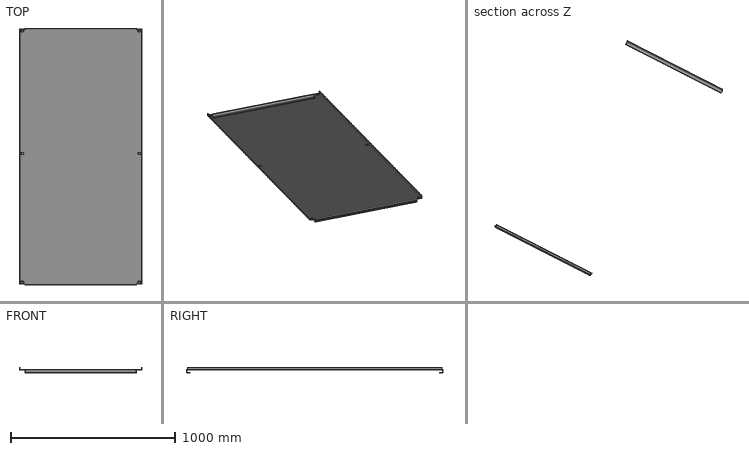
import cadquery as cq

length = 1560.0
width = 745.0
height = 33.0
sheet = 2.5
inner_bend = 0.6

side_rise = 12.0
end_lip = 20.0
corner_notch = 35.0
end_setback = 5.0

hole_length = 15.0
hole_width = 11.0
hole_side_inset = 17.0
hole_end_inset = 15.0
middle_hole_y = 19.0

panel_bottom = height - side_rise - sheet
panel_top = panel_bottom + sheet
end_flange_width = width - 2 * corner_notch
bend_reach = inner_bend + 2 * sheet
side_flange_length = length - 2 * end_setback


def block(x_range, y_range, z_range):
    """Box between the given limits on each axis."""
    starts, ends = zip(x_range, y_range, z_range)
    sizes = [end - start for start, end in zip(starts, ends)]
    return cq.Workplane("XY").box(*sizes, centered=False).translate(starts)


def make_panel():
    """Flat sheet inside the bends, with notches at the corners."""
    flat_width = width - 2 * bend_reach
    flat_length = length - 2 * bend_reach
    main = cq.Workplane("XY").box(flat_width, side_flange_length, sheet, centered=(True, True, False))
    ends = cq.Workplane("XY").box(end_flange_width, flat_length, sheet, centered=(True, True, False))
    return main.union(ends).translate((0, 0, panel_bottom))


def round_bend(body, axis, outer_corner, inner_corner):
    """Round the outer and inner corner lines of a right-angle bend to concentric arcs."""
    for corner, radius in ((outer_corner, inner_bend + sheet), (inner_corner, inner_bend)):
        nearest_edge = cq.selectors.NearestToPointSelector(corner)
        body = body.edges(axis).edges(nearest_edge).fillet(radius)
    return body


def make_side_flange():
    """Plain upward flange on the -X side, with its bend and a short run of the panel."""
    outer = -width / 2
    y_range = (-side_flange_length / 2, side_flange_length / 2)
    wall = block((outer, outer + sheet), y_range, (panel_bottom, height))
    foot = block((outer, outer + bend_reach), y_range, (panel_bottom, panel_top))
    outer_corner = (outer, 0, panel_bottom)
    inner_corner = (outer + sheet, 0, panel_top)
    return round_bend(wall.union(foot), "|Y", outer_corner, inner_corner)


def make_end_flange():
    """Downward flange with an inward lip on the -Y end, with both its bends."""
    outer = -length / 2
    x_range = (-end_flange_width / 2, end_flange_width / 2)
    wall = block(x_range, (outer, outer + sheet), (0, panel_top))
    lip = block(x_range, (outer, outer + end_lip), (0, sheet))
    head = block(x_range, (outer, outer + bend_reach), (panel_bottom, panel_top))
    flange = wall.union(lip).union(head)
    inner = outer + sheet
    flange = round_bend(flange, "|X", (0, outer, panel_top), (0, inner, panel_bottom))
    return round_bend(flange, "|X", (0, outer, 0), (0, inner, sheet))


def make_hole_cutters():
    """Rounded slots through the panel, three along each long side."""
    hole_x = width / 2 - hole_side_inset
    end_hole_y = length / 2 - hole_end_inset
    centres = [(x, y) for x in (-hole_x, hole_x) for y in (-end_hole_y, middle_hole_y, end_hole_y)]
    slots = cq.Workplane("XY").workplane(offset=panel_bottom).pushPoints(centres)
    return slots.slot2D(hole_length, hole_width).extrude(sheet)


side_flange = make_side_flange()
end_flange = make_end_flange()
result = make_panel()
for flange, mirror_plane in ((side_flange, "YZ"), (end_flange, "XZ")):
    result = result.union(flange).union(flange.mirror(mirror_plane))
result = result.cut(make_hole_cutters())